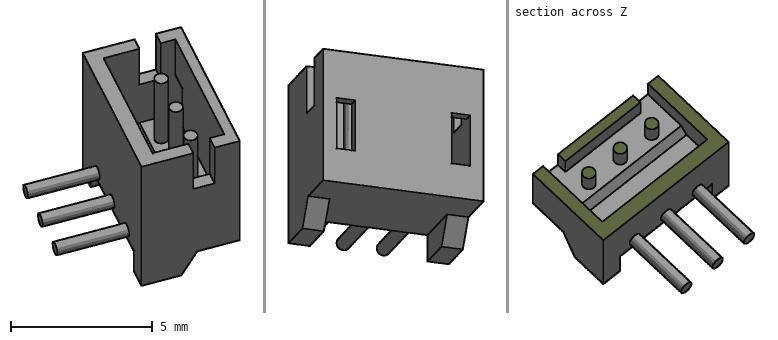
import cadquery as cq


body_width = 6.0
body_depth = 3.7
body_height = 6.0
leg_height = 1.0
leg_width = 0.8
leg_foot_depth = 1.5
leg_top_depth = 2.1

side_wall = 0.5
front_wall = 0.6
back_wall = 0.4
front_floor_z = 2.0
floor_step = 0.28

slot_front_y = 1.95
slot_width = 0.8
slot_depth = 1.8

window_width = 0.7

pin_count = 3
pin_pitch = 1.5
pin_diameter = 0.5
pin_y = 2.4
pin_top_z = 5.3
pin_tail_z = 1.4
pin_tail_length = 2.7

cavity_width = body_width - 2 * side_wall
cavity_back_y = body_depth - back_wall
floor_slope_end = slot_front_y
floor_slope_start = floor_slope_end - floor_step
back_floor_z = front_floor_z + floor_step
slot_floor_z = body_height - slot_depth


def centred_prism(profile_yz, width):
    """Extrude a (Y, Z) outline along X, symmetric about X = 0."""
    return cq.Workplane("YZ").polyline(profile_yz).close().extrude(width / 2, both=True)


def box_between(x_range, y_range, z_range):
    """Axis-aligned box spanning the given (low, high) ranges."""
    size = [high - low for low, high in (x_range, y_range, z_range)]
    corner = (x_range[0], y_range[0], z_range[0])
    return cq.Workplane("XY").box(*size, centered=False).translate(corner)


def make_housing_block():
    """Solid housing with a sloped lower back and a gap between its two legs."""
    profile = [
        (0, 0),
        (leg_foot_depth, 0),
        (leg_top_depth, leg_height),
        (body_depth, leg_height),
        (body_depth, body_height),
        (0, body_height),
    ]
    gap_half_width = body_width / 2 - leg_width
    leg_gap = box_between((-gap_half_width, gap_half_width), (0, body_depth), (0, leg_height))
    return centred_prism(profile, body_width).cut(leg_gap)


def make_cavity():
    """Open-topped cavity whose floor drops down a slope towards the front."""
    profile = [
        (front_wall, front_floor_z),
        (floor_slope_start, front_floor_z),
        (floor_slope_end, back_floor_z),
        (cavity_back_y, back_floor_z),
        (cavity_back_y, body_height),
        (front_wall, body_height),
    ]
    return centred_prism(profile, cavity_width)


def make_keying_slots():
    """One cut across the housing that notches both side walls."""
    half_width = body_width / 2
    y_range = (slot_front_y, slot_front_y + slot_width)
    return box_between((-half_width, half_width), y_range, (slot_floor_z, body_height))


def make_window(side):
    """Window through the back wall beside the left (-1) or right (+1) side wall."""
    outer_x = side * cavity_width / 2
    inner_x = outer_x - side * window_width
    x_range = (min(inner_x, outer_x), max(inner_x, outer_x))
    return box_between(x_range, (cavity_back_y, body_depth), (back_floor_z, slot_floor_z))


def make_pin(x):
    """Right-angle pin: an upright contact joined to a tail leaving the front face."""
    radius = pin_diameter / 2
    heel_z = pin_tail_z - radius
    contact = (
        cq.Workplane("XY", origin=(x, pin_y, heel_z))
        .circle(radius)
        .extrude(pin_top_z - heel_z)
    )
    tail = (
        cq.Workplane("XZ", origin=(x, pin_y, pin_tail_z))
        .circle(radius)
        .extrude(pin_y + pin_tail_length)
    )
    return contact.union(tail)


result = make_housing_block().cut(make_cavity()).cut(make_keying_slots())
for side in (-1, 1):
    result = result.cut(make_window(side))
for index in range(pin_count):
    pin_x = (index - (pin_count - 1) / 2) * pin_pitch
    result = result.union(make_pin(pin_x))